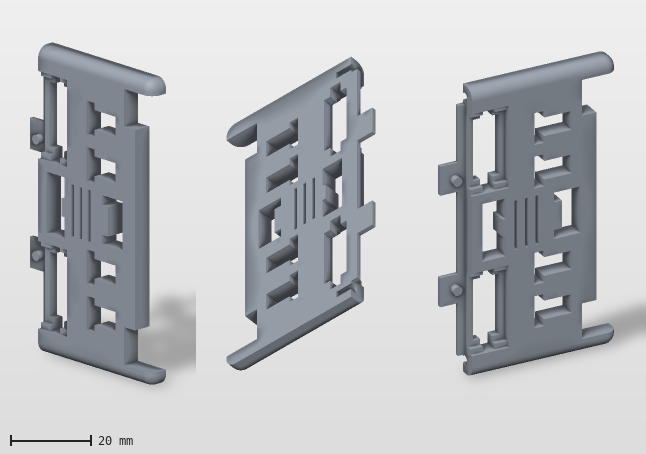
import cadquery as cq


height = 80.0
depth = 5.0
body_width = 34.9
neck_width = 30.9
body_half_height = 26.1
rail_length = 41.0
rail_height = 4.0
edge_radius = 3.0

bore_diameter = 2.6
bore_inset = 3.5
bore_back_inset = 1.0
bore_length = 5.0

flange_thickness = 1.2
flange_width = 2.0
flange_half_height = 34.7
lug_reach = 7.0
lug_height = 8.1
lug_centers = (15.0, -16.0)
pin_diameter = 2.5
pin_length = 1.8
pin_centers = (14.6, -15.8)
pin_x = -3.0

pocket_width = 10.4
pocket_height = 22.9
pocket_center = 22.2
pocket_depth = 2.4
step_height = 1.4
step_depth = 1.0
window_left = 1.5
window_right = 9.0
window_margin = 3.0
slot_left = 3.5
slot_right = 6.9

tee_centers = (25.4, 13.4, -13.4, -25.4)
tee_left = 17.5
tee_head_width = 2.7
tee_width = 10.4
tee_head_height = 8.9
tee_stem_height = 5.2

latch_left = 3.0
latch_right = 9.4
latch_height = 16.1
latch_tongue_width = 1.0
latch_tongue_height = 4.7
catch_left = 23.0
catch_right = 30.5
catch_center = 0.1
catch_height = 12.9
catch_tongue_width = 2.2
catch_tongue_height = 7.7
vent_count = 3
vent_left = 11.9
vent_width = 1.0
vent_pitch = 3.0
vent_height = 13.6


def block(x_min, x_max, z_center, z_size, y_min=0.0, y_max=depth):
    """Box given by its X and Y limits and its centre and size along Z."""
    return cq.Workplane("XY").box(
        x_max - x_min, y_max - y_min, z_size, centered=(False, False, True)
    ).translate((x_min, y_min, z_center))


def make_body():
    """Plate with rails at both ends, rounded on the front, outer and right edges."""
    body = block(0, rail_length, 0, height)
    body = body.edges("|Y and >X").fillet(edge_radius)
    body = body.faces("<Y").edges("not <X").fillet(edge_radius)
    body = body.cut(block(neck_width, rail_length, 0, height - 2 * rail_height))
    return body.union(block(0, body_width, 0, 2 * body_half_height))


def hinge_bore(side):
    center = (0, depth - bore_back_inset, side * (height / 2 - bore_inset))
    return cq.Workplane("YZ", origin=center).circle(bore_diameter / 2).extrude(bore_length)


def make_flange():
    """Thin strip along the back of the left edge, with its lugs and pins."""
    front = depth - flange_thickness
    flange = block(-flange_width, 0, 0, 2 * flange_half_height, front)
    for lug_z, pin_z in zip(lug_centers, pin_centers):
        flange = flange.union(block(-lug_reach, 0, lug_z, lug_height, front))
        pin = cq.Workplane("XZ", origin=(pin_x, front, pin_z)).circle(pin_diameter / 2)
        flange = flange.union(pin.extrude(pin_length))
    return flange


def pocket(z_center):
    """Stepped pocket with a window and a narrower slot through its floor."""
    cutter = block(0, pocket_width, z_center, pocket_height, 0, step_depth)
    floor_height = pocket_height - 2 * step_height
    cutter = cutter.union(block(0, pocket_width, z_center, floor_height, 0, pocket_depth))
    window_height = pocket_height - 2 * window_margin
    cutter = cutter.union(block(window_left, window_right, z_center, window_height))
    return cutter.union(block(slot_left, slot_right, z_center, pocket_height))


def tee_opening(z_center):
    head = block(tee_left, tee_left + tee_head_width, z_center, tee_head_height)
    return head.union(block(tee_left, tee_left + tee_width, z_center, tee_stem_height))


def latch_opening():
    opening = block(latch_left, latch_right, 0, latch_height)
    return opening.cut(block(latch_right - latch_tongue_width, latch_right, 0, latch_tongue_height))


def catch_opening():
    opening = block(catch_left, catch_right, catch_center, catch_height)
    return opening.cut(block(catch_left, catch_left + catch_tongue_width, 0, catch_tongue_height))


result = make_body()
for side in (1, -1):
    result = result.cut(hinge_bore(side))
    result = result.cut(pocket(side * pocket_center))
for tee_z in tee_centers:
    result = result.cut(tee_opening(tee_z))
result = result.cut(latch_opening()).cut(catch_opening())
for index in range(vent_count):
    vent_x = vent_left + index * vent_pitch
    result = result.cut(block(vent_x, vent_x + vent_width, 0, vent_height))
result = result.union(make_flange())